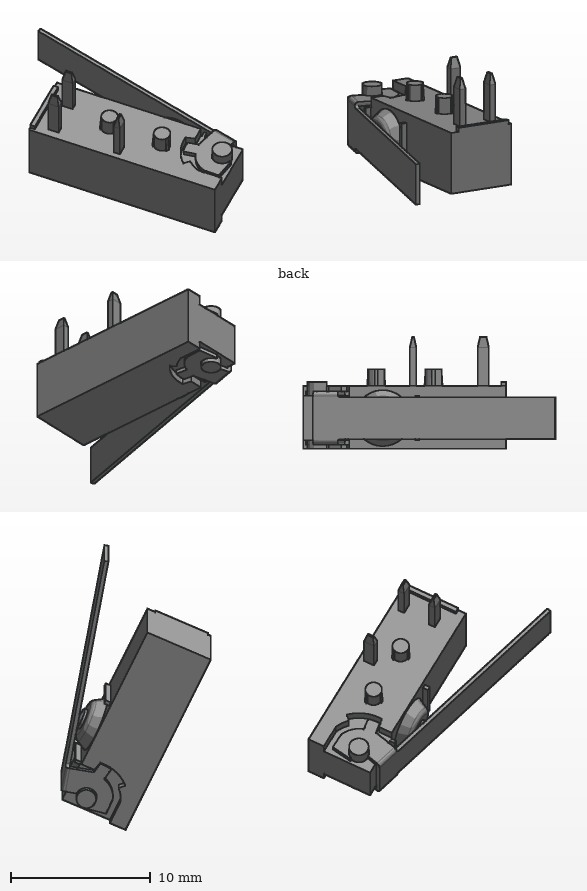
import cadquery as cq
import math

LENGTH = 14.5
DEPTH = 5.0
HEIGHT = 4.5
MID_Z = 2.2
CORE_WIDTH = 3.2
CORE_TOP = MID_Z + CORE_WIDTH / 2
CORE_BOTTOM = MID_Z - CORE_WIDTH / 2

RIDGE_WIDTH = 0.36
RIDGE_HEIGHT = 0.29
RIDGE_FRONT = 0.22
RIDGE_BACK = 0.63

GUARD_HEIGHT = 0.4
LEFT_GUARD_X = 6.22
LEFT_GUARD_WIDTH = 0.29
RIGHT_GUARD_X = 11.29
RIGHT_GUARD_WIDTH = 0.22

TERMINAL_WIDTH = 0.81
TERMINAL_THICKNESS = 0.49
TERMINAL_LENGTH = 3.5
TERMINAL_TIP_LENGTH = 0.75
TERMINAL_TIP_WIDTH = 0.47
TERMINAL_TIP_THICKNESS = 0.13
LEFT_TERMINAL_X = 1.64
MIDDLE_TERMINAL_X = 6.65
FRONT_TERMINAL_Y = 0.83
BACK_TERMINAL_Y = 3.32

PEG_RADIUS = 0.6
PEG_HEIGHT = 1.19
PEG_Y = 2.49
FIRST_PEG_X = 5.2
PEG_PITCH = 4.1
PEG_COUNT = 2
CRUSH_RIB_WIDTH = 0.23
CRUSH_RIB_RISE = 0.09
CRUSH_RIB_ANGLES = (90, 210, 330)

PIVOT_X = 13.5
PIVOT_Y = 3.55
PIVOT_RADIUS = 0.7
PIVOT_TOP = HEIGHT + RIDGE_HEIGHT
POCKET_LEFT = -2.29
POCKET_NOTCH_TOP = 0.41
POCKET_FLOOR_EDGE = -2.3
POCKET_OUTER_RADIUS = 2.97
POCKET_INNER_RADIUS = 2.45
POCKET_TAB_START = 175
POCKET_TAB_END = 225

LEVER_TILT = -14.9
SHEET = 0.3
LEVER_BACK = 1.85
LEVER_INNER = LEVER_BACK - SHEET
ARM_END = -18.05
ARM_WIDTH = 3.0
ARM_FILLET = 0.22
LEVER_WIDTH = CORE_WIDTH + 2 * SHEET
BEND_RADIUS = 0.29
LUG_HOLE_RADIUS = PIVOT_RADIUS + 0.04
LUG_LEFT = -2.0
LUG_RIGHT = -0.18
LUG_RADIUS = 1.91
LUG_ARC_START = 264.5
LUG_ARC_END = 212.5
LUG_FRONT_CORNER = (1.0, -1.62)
LUG_HOOK_CORNER = (0.85, -0.04)
TAB_RADIUS = 2.8
TAB_START = 209.5
TAB_END = 191
TAB_ROOT_Y = -0.2

PLUNGER_X = 8.82
BOOT_BASE_RADIUS = 2.0
BOOT_TOP_RADIUS = 1.46
BOOT_HEIGHT = 0.95
BOOT_ROUNDING = 0.47
PLUNGER_RADIUS = 0.74
PLUNGER_SIDE = 0.22
PLUNGER_CROWN = 0.16


def box(x0, x1, y0, y1, z0, z1):
    """Box between two opposite corners."""
    return cq.Workplane("XY").box(x1 - x0, y1 - y0, z1 - z0, centered=False).translate((x0, y0, z0))


def polar(radius, degrees):
    """Point on a circle about the origin."""
    angle = math.radians(degrees)
    return (radius * math.cos(angle), radius * math.sin(angle))


def arc_to(outline, radius, start, end):
    """Continue an outline along an arc about the origin."""
    return outline.threePointArc(polar(radius, (start + end) / 2), polar(radius, end))


def make_terminal(x, y, turn):
    """Upright blade with a tapered tip, its width turned from the X axis by an angle in degrees."""
    shank = TERMINAL_LENGTH - TERMINAL_TIP_LENGTH
    blade = cq.Workplane("XY").rect(TERMINAL_WIDTH, TERMINAL_THICKNESS).extrude(shank)
    tip = (
        cq.Workplane("XY", origin=(0, 0, shank))
        .rect(TERMINAL_WIDTH, TERMINAL_THICKNESS)
        .workplane(offset=TERMINAL_TIP_LENGTH)
        .rect(TERMINAL_TIP_WIDTH, TERMINAL_TIP_THICKNESS)
        .loft(ruled=True)
    )
    return blade.union(tip).rotate((0, 0, 0), (0, 0, 1), turn).translate((x, y, HEIGHT))


def make_peg(x):
    """Round peg with crush ribs that fade out at its top."""
    peg = cq.Workplane("XY").circle(PEG_RADIUS).extrude(PEG_HEIGHT)
    rib = (
        cq.Workplane("XZ")
        .polyline([(0, 0), (PEG_RADIUS + CRUSH_RIB_RISE, 0), (PEG_RADIUS, PEG_HEIGHT), (0, PEG_HEIGHT)])
        .close()
        .extrude(CRUSH_RIB_WIDTH / 2, both=True)
    )
    for angle in CRUSH_RIB_ANGLES:
        peg = peg.union(rib.rotate((0, 0, 0), (0, 0, 1), angle))
    return peg.translate((x, PEG_Y, HEIGHT))


def make_lever_pocket(bottom, top):
    """Recess for one lever lug, open to the +X and +Y sides."""
    right = LENGTH - PIVOT_X
    back = DEPTH - PIVOT_Y
    front_arc_end = 180 + math.degrees(math.asin(-POCKET_FLOOR_EDGE / POCKET_INNER_RADIUS))
    outline = (
        cq.Workplane("XY", origin=(PIVOT_X, PIVOT_Y, bottom))
        .moveTo(right, back)
        .lineTo(POCKET_LEFT, back)
        .lineTo(POCKET_LEFT, POCKET_NOTCH_TOP)
        .lineTo(*polar(POCKET_OUTER_RADIUS, POCKET_TAB_START))
    )
    outline = arc_to(outline, POCKET_OUTER_RADIUS, POCKET_TAB_START, POCKET_TAB_END)
    outline = outline.lineTo(*polar(POCKET_INNER_RADIUS, POCKET_TAB_END))
    outline = arc_to(outline, POCKET_INNER_RADIUS, POCKET_TAB_END, front_arc_end)
    return outline.lineTo(right, POCKET_FLOOR_EDGE).close().extrude(top - bottom)


def make_pivot():
    """Pin through both pockets, about which the lever turns."""
    return cq.Workplane("XY").circle(PIVOT_RADIUS).extrude(PIVOT_TOP).translate((PIVOT_X, PIVOT_Y, 0))


def make_housing():
    """Case with its ridge, guards, pockets, pivot, pegs and terminals."""
    body = box(0, LENGTH, 0, DEPTH, 0, HEIGHT)
    body = body.cut(make_lever_pocket(CORE_TOP, HEIGHT))
    body = body.cut(make_lever_pocket(0, CORE_BOTTOM))
    body = body.union(make_pivot())
    body = body.union(
        box(0, RIDGE_WIDTH, RIDGE_FRONT, DEPTH - RIDGE_BACK, HEIGHT, HEIGHT + RIDGE_HEIGHT)
    )
    for x, width in ((LEFT_GUARD_X, LEFT_GUARD_WIDTH), (RIGHT_GUARD_X, RIGHT_GUARD_WIDTH)):
        body = body.union(box(x, x + width, DEPTH, DEPTH + GUARD_HEIGHT, CORE_BOTTOM, CORE_TOP))
    for i in range(PEG_COUNT):
        body = body.union(make_peg(FIRST_PEG_X + i * PEG_PITCH))
    for y in (FRONT_TERMINAL_Y, BACK_TERMINAL_Y):
        body = body.union(make_terminal(LEFT_TERMINAL_X, y, 0))
    return body.union(make_terminal(MIDDLE_TERMINAL_X, FRONT_TERMINAL_Y, 90))


def make_lever():
    """Bent sheet lever: a long arm and a channel of two lugs that straddle the housing core."""
    outline = (
        cq.Workplane("XY")
        .moveTo(LUG_LEFT, LEVER_BACK)
        .lineTo(LUG_RIGHT, LEVER_BACK)
        .lineTo(LUG_RIGHT, 0)
        .lineTo(*LUG_HOOK_CORNER)
        .lineTo(*LUG_FRONT_CORNER)
        .lineTo(*polar(LUG_RADIUS, LUG_ARC_START))
    )
    outline = arc_to(outline, LUG_RADIUS, LUG_ARC_START, LUG_ARC_END)
    outline = outline.lineTo(*polar(TAB_RADIUS, TAB_START))
    outline = arc_to(outline, TAB_RADIUS, TAB_START, TAB_END)
    channel = outline.lineTo(LUG_LEFT, TAB_ROOT_Y).close().extrude(LEVER_WIDTH / 2, both=True)
    channel = channel.edges("|X and >Y").fillet(BEND_RADIUS)
    channel = channel.cut(
        box(-TAB_RADIUS, TAB_RADIUS, -TAB_RADIUS, LEVER_INNER, -CORE_WIDTH / 2, CORE_WIDTH / 2)
    )
    channel = channel.cut(cq.Workplane("XY").circle(LUG_HOLE_RADIUS).extrude(LEVER_WIDTH / 2, both=True))
    arm = box(ARM_END, LUG_LEFT, LEVER_INNER, LEVER_BACK, -ARM_WIDTH / 2, ARM_WIDTH / 2)
    lever = channel.union(arm)
    inner_corners = cq.selectors.BoxSelector(
        (LUG_LEFT - ARM_FILLET, LEVER_INNER, -CORE_WIDTH / 2),
        (LUG_LEFT + ARM_FILLET, LEVER_BACK, CORE_WIDTH / 2),
    )
    lever = lever.edges("|Y").edges(inner_corners).fillet(ARM_FILLET)
    return lever.rotate((0, 0, 0), (0, 0, 1), LEVER_TILT).translate((PIVOT_X, PIVOT_Y, MID_Z))


def make_boot():
    """Conical rubber seal on the back face, with a rounded rim."""
    boot = (
        cq.Workplane("XY")
        .polyline([(0, 0), (BOOT_BASE_RADIUS, 0), (BOOT_TOP_RADIUS, BOOT_HEIGHT), (0, BOOT_HEIGHT)])
        .close()
        .revolve(360, (0, 0, 0), (0, 1, 0))
        .edges(">Y")
        .fillet(BOOT_ROUNDING)
    )
    return boot.translate((PLUNGER_X, DEPTH, MID_Z))


def make_plunger():
    """Push button with a domed end, standing on the boot."""
    dome_radius = (PLUNGER_RADIUS**2 + PLUNGER_CROWN**2) / (2 * PLUNGER_CROWN)
    dome_centre = PLUNGER_SIDE + PLUNGER_CROWN - dome_radius
    half_x = PLUNGER_RADIUS / 2
    half_y = dome_centre + math.sqrt(dome_radius**2 - half_x**2)
    plunger = (
        cq.Workplane("XY")
        .lineTo(PLUNGER_RADIUS, 0)
        .lineTo(PLUNGER_RADIUS, PLUNGER_SIDE)
        .threePointArc((half_x, half_y), (0, PLUNGER_SIDE + PLUNGER_CROWN))
        .close()
        .revolve(360, (0, 0, 0), (0, 1, 0))
    )
    return plunger.translate((PLUNGER_X, DEPTH + BOOT_HEIGHT, MID_Z))


housing = make_housing()
lever = make_lever()
boot = make_boot()
plunger = make_plunger()

result = cq.Compound.makeCompound([housing.val(), lever.val(), boot.val(), plunger.val()])